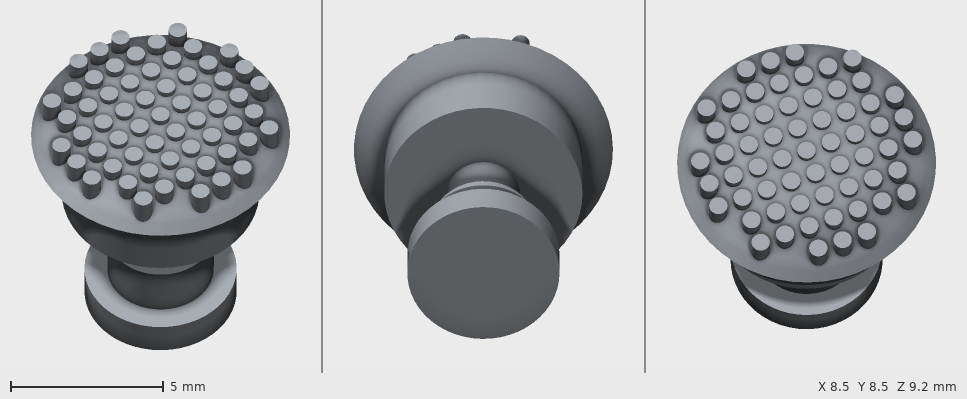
import cadquery as cq
import math

foot_diameter = 5.0
foot_height = 1.2
collar_diameter = 3.5
collar_height = 1.8
neck_diameter = 2.4
neck_height = 2.2
stud_height = foot_height + collar_height + neck_height

drum_diameter = 6.5
rim_diameter = 8.5
rim_level = 8.1
bowl_sphere_radius = 7.54
dome_height = 0.9
dome_arc_radius = 4.0

dome_top = rim_level + dome_height

peg_diameter = 0.6
grid_half_span = 3.4
grid_reach = 4
peg_pitch = grid_half_span / grid_reach
patch_radius = 3.68
overall_height = 9.2


def make_stud():
    """Stepped stud, standing on Z = 0."""
    return (
        cq.Workplane("XY")
        .circle(foot_diameter / 2)
        .extrude(foot_height)
        .faces(">Z")
        .workplane()
        .circle(collar_diameter / 2)
        .extrude(collar_height)
        .faces(">Z")
        .workplane()
        .circle(neck_diameter / 2)
        .extrude(neck_height)
    )


def sphere_level(radius, centre_level):
    """Level of the bowl sphere's lower surface at a given radius from the axis."""
    return centre_level - math.sqrt(bowl_sphere_radius**2 - radius**2)


def make_head_blank():
    """Drum, bowl and dome, turned about Z; the dome arc runs tangent into its flat top."""
    drum_radius = drum_diameter / 2
    rim_radius = rim_diameter / 2

    bowl_centre_level = rim_level + math.sqrt(bowl_sphere_radius**2 - rim_radius**2)
    bowl_mid_radius = (drum_radius + rim_radius) / 2
    drum_top = sphere_level(drum_radius, bowl_centre_level)
    bowl_middle = (bowl_mid_radius, sphere_level(bowl_mid_radius, bowl_centre_level))

    dome_centre_level = dome_top - dome_arc_radius
    rim_angle = math.asin((rim_level - dome_centre_level) / dome_arc_radius)
    flat_radius = rim_radius - dome_arc_radius * math.cos(rim_angle)
    mid_angle = (rim_angle + math.pi / 2) / 2
    dome_middle = (
        flat_radius + dome_arc_radius * math.cos(mid_angle),
        dome_centre_level + dome_arc_radius * math.sin(mid_angle),
    )
    return (
        cq.Workplane("XZ")
        .moveTo(0, stud_height)
        .lineTo(drum_radius, stud_height)
        .lineTo(drum_radius, drum_top)
        .threePointArc(bowl_middle, (rim_radius, rim_level))
        .threePointArc(dome_middle, (flat_radius, dome_top))
        .lineTo(0, dome_top)
        .close()
        .revolve(360, (0, 0, 0), (0, 1, 0))
    )


def peg_centres():
    """Grid points that fall inside the round patch."""
    steps = range(-grid_reach, grid_reach + 1)
    return [
        (column * peg_pitch, row * peg_pitch)
        for column in steps
        for row in steps
        if math.hypot(column, row) * peg_pitch < patch_radius
    ]


def make_pegs():
    """Pegs rooted inside the head at rim level, so that each one meets the dome all round."""
    return (
        cq.Workplane("XY")
        .workplane(offset=rim_level)
        .pushPoints(peg_centres())
        .circle(peg_diameter / 2)
        .extrude(overall_height - rim_level)
    )


def make_head():
    """Head with its pegs, as one body."""
    return make_head_blank().union(make_pegs())


stud = make_stud()
head = make_head()

result = cq.Compound.makeCompound([stud.solids().val(), head.solids().val()])